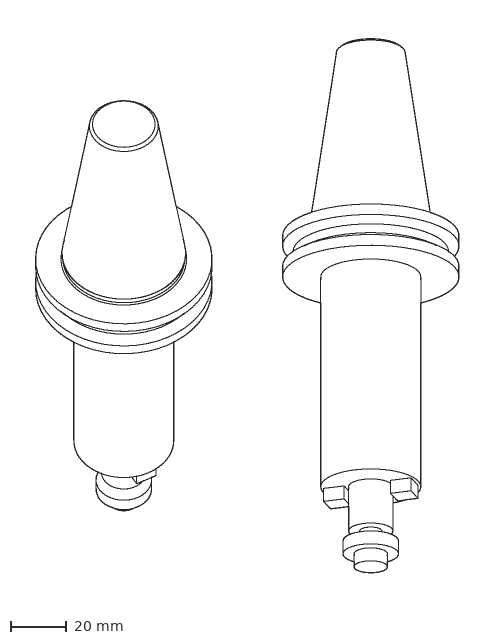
import cadquery as cq
import math

gauge_diameter = 44.45
cone_overrun = 0.4
taper_length = 68.4
taper_ratio = 7 / 24
tip_chamfer = 1.0

relief_diameter = 44.0
relief_rim_diameter = 45.2

flange_diameter = 63.5
flange_top_z = -3.2
flange_thickness = 15.9
groove_diameter = 56.0
groove_center_z = -11.1
groove_floor_width = 3.4
groove_flank_angle = 30.0

body_diameter = 36.0
body_end_z = -100.0
pilot_diameter = 16.0
pilot_length = 17.0

screw_neck_diameter = 8.0
screw_neck_length = 3.8
screw_collar_diameter = 20.0
screw_collar_length = 5.0
screw_tip_diameter = 12.0
screw_tip_length = 5.0

key_width = 8.0
key_height = 5.0
key_inner_x = 8.8
key_outer_x = 16.6


def cylinder(diameter, top_z, length):
    """Solid cylinder on the Z axis, reaching down from top_z."""
    return cq.Workplane("XY").workplane(offset=top_z).circle(diameter / 2).extrude(-length)


def make_taper():
    """Cone with a chamfered tip, joined to the flange through a shallow undercut."""
    gauge_radius = gauge_diameter / 2
    tip_radius = gauge_radius - taper_length * taper_ratio / 2
    cone_end_radius = gauge_radius + cone_overrun * taper_ratio / 2
    relief_radius = relief_diameter / 2
    rim_radius = relief_rim_diameter / 2
    flank = rim_radius - relief_radius
    return (
        cq.Workplane("XZ")
        .moveTo(0, flange_top_z)
        .lineTo(rim_radius, flange_top_z)
        .lineTo(relief_radius, flange_top_z + flank)
        .lineTo(relief_radius, -cone_overrun - (cone_end_radius - relief_radius))
        .lineTo(cone_end_radius, -cone_overrun)
        .lineTo(tip_radius, taper_length)
        .lineTo(0, taper_length)
        .close()
        .revolve(360, (0, 0), (0, 1))
        .faces(">Z")
        .chamfer(tip_chamfer)
    )


def make_flange():
    """Disc with a V-flanked gripper groove around its rim."""
    rim_radius = flange_diameter / 2
    floor_radius = groove_diameter / 2
    floor_half = groove_floor_width / 2
    flank_rise = (rim_radius - floor_radius) * math.tan(math.radians(groove_flank_angle))
    mouth_half = floor_half + flank_rise
    groove = (
        cq.Workplane("XZ")
        .moveTo(floor_radius, groove_center_z - floor_half)
        .lineTo(rim_radius, groove_center_z - mouth_half)
        .lineTo(rim_radius, groove_center_z + mouth_half)
        .lineTo(floor_radius, groove_center_z + floor_half)
        .close()
        .revolve(360, (0, 0), (0, 1))
    )
    return cylinder(flange_diameter, flange_top_z, flange_thickness).cut(groove)


def make_shaft():
    """Body, pilot and retaining screw, stacked downwards below the flange."""
    flange_bottom_z = flange_top_z - flange_thickness
    sections = [
        (body_diameter, flange_bottom_z - body_end_z),
        (pilot_diameter, pilot_length),
        (screw_neck_diameter, screw_neck_length),
        (screw_collar_diameter, screw_collar_length),
        (screw_tip_diameter, screw_tip_length),
    ]
    shaft = cq.Workplane("XY")
    top_z = flange_bottom_z
    for diameter, length in sections:
        shaft = shaft.union(cylinder(diameter, top_z, length))
        top_z -= length
    return shaft


def make_keys():
    """Two drive keys, one on each side of the pilot along X."""
    return (
        cq.Workplane("XY")
        .workplane(offset=body_end_z)
        .pushPoints([(side * (key_inner_x + key_outer_x) / 2, 0) for side in (-1, 1)])
        .rect(key_outer_x - key_inner_x, key_width)
        .extrude(-key_height)
    )


result = make_taper().union(make_flange()).union(make_shaft()).union(make_keys())